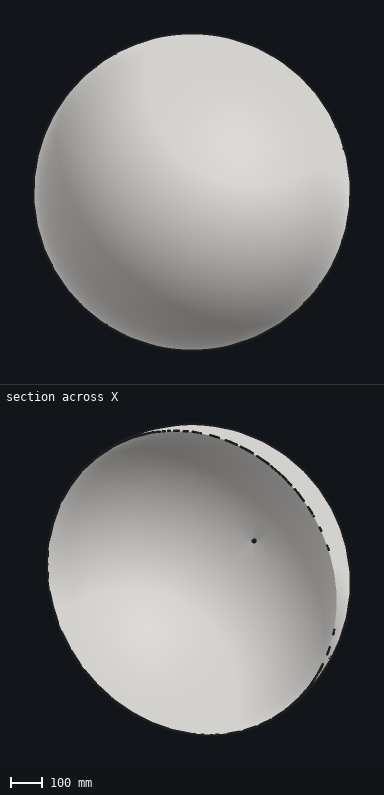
import cadquery as cq

ball_diameter = 1000.0
wall = 4.0
stub_diameter = 9.0
stub_bore = 4.0
stub_length = 10.0

outer_radius = ball_diameter / 2
inner_radius = outer_radius - wall


def ball(radius, seam_angle):
    """Sphere at the origin with its seam turned about Z, in degrees from +X."""
    return cq.Workplane("XY").sphere(radius).rotate((0, 0, 0), (0, 0, 1), seam_angle)


def stub():
    """Tube along X, reaching inward from the -X end of the ball."""
    return (
        cq.Workplane("YZ", origin=(-outer_radius, 0, 0))
        .circle(stub_diameter / 2)
        .circle(stub_bore / 2)
        .extrude(stub_length)
    )


cavity = ball(inner_radius, 90).cut(stub())
result = ball(outer_radius, 180).cut(cavity)